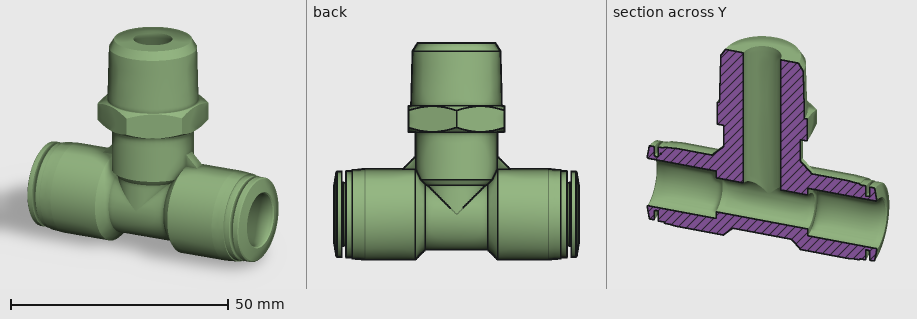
import cadquery as cq
import math

half_length = 28.25
core_radius = 8.2
sleeve_radius = 10.5
sleeve_inner_x = 9.5
sleeve_taper_x = 21.15
sleeve_end_x = 24.05
sleeve_end_radius = 10.3
collar_radius = 20.0 / 2
collar_end_x = 25.55
collar_chamfer = 0.15
neck_radius = 14.6 / 2
neck_flare_x = 26.05
neck_flare_radius = 7.45
ring_inner_x = 26.4
ring_radius = 19.8 / 2
ring_edge_x = 27.5
ring_face_x = 27.75
ring_face_radius = 9.6

bore_radius = 9.0 / 2
socket_radius = 12.6 / 2
socket_mouth_radius = 6.55
socket_mouth_depth = 0.3
socket_depth = 16.95

stem_radius = 19.0 / 2
stem_bottom_z = 7.95
nut_bottom_z = 18.9
nut_height = 6.05
nut_corner_diameter = 25.65
nut_chamfer_radius = 10.95
nut_chamfer_angle = 30
thread_root_radius = 21.0 / 2
thread_end_radius = 10.15
thread_tip_radius = 9.0
thread_chamfer_height = 1.9
top_z = 39.5

gusset_width = 2.7
gusset_rise = 2.75

nut_top_z = nut_bottom_z + nut_height


def run_half():
    """Half of the run on +X, turned about the X axis."""
    core_end_x = sleeve_inner_x - (sleeve_radius - core_radius)
    outline = [
        (0, 0),
        (0, core_radius),
        (core_end_x, core_radius),
        (sleeve_inner_x, sleeve_radius),
        (sleeve_taper_x, sleeve_radius),
        (sleeve_end_x, sleeve_end_radius),
        (sleeve_end_x, collar_radius),
        (collar_end_x - collar_chamfer, collar_radius),
        (collar_end_x, collar_radius - collar_chamfer),
        (collar_end_x, neck_radius),
        (neck_flare_x, neck_radius),
        (ring_inner_x, neck_flare_radius),
        (ring_inner_x, ring_radius),
        (ring_edge_x, ring_radius),
        (ring_face_x, ring_face_radius),
        (half_length, socket_mouth_radius),
        (half_length, 0),
    ]
    return cq.Workplane("XY").polyline(outline).close().revolve(360, (0, 0), (1, 0))


def socket():
    """Tube socket cut into the +X end, with a chamfered mouth."""
    floor_x = half_length - socket_depth
    outline = [
        (floor_x, 0),
        (floor_x, socket_radius),
        (half_length - socket_mouth_depth, socket_radius),
        (half_length, socket_mouth_radius),
        (half_length, 0),
    ]
    return cq.Workplane("XY").polyline(outline).close().revolve(360, (0, 0), (1, 0))


def stem_and_thread():
    """Branch core, stem and tapered thread, turned about the Z axis."""
    shoulder_z = stem_bottom_z - (stem_radius - core_radius)
    outline = [
        (0, 0),
        (core_radius, 0),
        (core_radius, shoulder_z),
        (stem_radius, stem_bottom_z),
        (stem_radius, nut_top_z),
        (thread_root_radius, nut_top_z),
        (thread_end_radius, top_z - thread_chamfer_height),
        (thread_tip_radius, top_z),
        (0, top_z),
    ]
    return cq.Workplane("XZ").polyline(outline).close().revolve(360, (0, 0), (0, 1))


def nut():
    """Hexagon with corners on Y, its corners chamfered at both faces."""
    corner_radius = nut_corner_diameter / 2
    drop = (corner_radius - nut_chamfer_radius) * math.tan(math.radians(nut_chamfer_angle))
    hexagon = (
        cq.Workplane("XY", origin=(0, 0, nut_bottom_z))
        .transformed(rotate=(0, 0, 90))
        .polygon(6, nut_corner_diameter)
        .extrude(nut_height)
    )
    envelope = [
        (0, nut_bottom_z),
        (nut_chamfer_radius, nut_bottom_z),
        (corner_radius, nut_bottom_z + drop),
        (corner_radius, nut_top_z - drop),
        (nut_chamfer_radius, nut_top_z),
        (0, nut_top_z),
    ]
    turned = cq.Workplane("XZ").polyline(envelope).close().revolve(360, (0, 0), (0, 1))
    return hexagon.intersect(turned)


def gussets():
    """Pair of 45 degree webs, formed by one trapezoid passing through the stem."""
    web_top_z = sleeve_radius + gusset_rise
    base_z = core_radius
    apex_z = web_top_z + stem_radius
    half_base = apex_z - base_z
    outline = [
        (-half_base, base_z),
        (half_base, base_z),
        (stem_radius, web_top_z),
        (-stem_radius, web_top_z),
    ]
    return cq.Workplane("XZ").polyline(outline).close().extrude(gusset_width / 2, both=True)


body = run_half()
body = body.union(body.mirror("YZ"))
body = body.union(stem_and_thread()).union(nut()).union(gussets())

branch_bore = cq.Workplane("XY").circle(bore_radius).extrude(top_z)
run_bore = cq.Workplane("YZ", origin=(-half_length, 0, 0)).circle(bore_radius).extrude(2 * half_length)
result = body.cut(branch_bore).cut(run_bore).cut(socket()).cut(socket().mirror("YZ"))